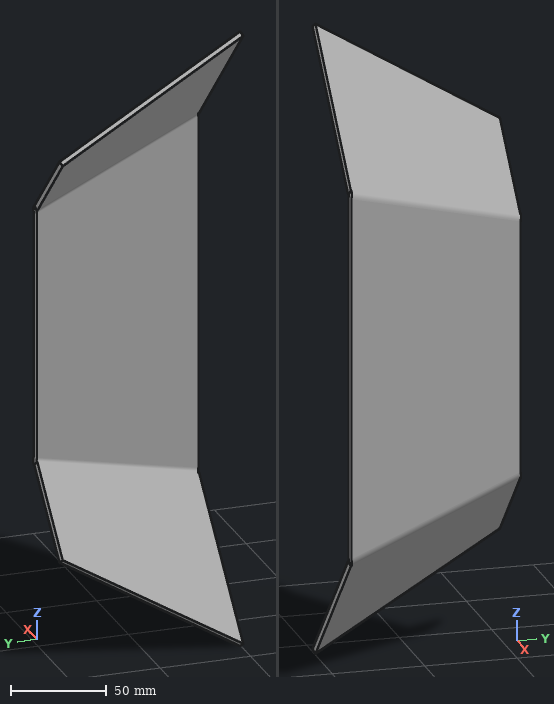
import cadquery as cq
import math

overall_height = 345.3
thickness = 3.0
inner_bend_radius = 3.0
depth = 99.8
front_reach = 70.8
back_reach = 40.7

up = cq.Vector(0, 0, 1)
taper = front_reach - back_reach
bend_line = cq.Vector(-taper, depth, -taper)
web_normal = bend_line.cross(up).normalized()
flange_direction = cq.Vector(-1, 0, 1).normalized()
flange_normal = bend_line.cross(flange_direction).normalized()
bend_angle = web_normal.getAngle(flange_normal)

tip_height = overall_height / 2 - thickness * flange_normal.z
web_half_height = tip_height - front_reach

front_corner = cq.Vector(front_reach, 0, web_half_height)
back_corner = front_corner + bend_line
front_tip = cq.Vector(0, 0, tip_height)
back_tip = cq.Vector(0, depth, back_corner.z + back_reach)

tangent_length = inner_bend_radius * math.tan(bend_angle / 2)
bend_slope = bend_line.getAngle(up)
bend_drop = up * (tangent_length / math.sin(bend_slope))
web_front = front_corner - bend_drop
web_back = back_corner - bend_drop

axis_front = web_front - web_normal * inner_bend_radius
axis_back = web_back - web_normal * inner_bend_radius


def plate(corners, normal):
    """Flat sheet with square-cut edges, thickened outward from its inner surface."""
    outline = cq.Wire.makePolygon(corners, close=True)
    return cq.Solid.extrudeLinear(outline, [], normal * thickness)


def mirrored(point):
    return cq.Vector(point.x, point.y, -point.z)


def make_bend():
    """Turn the square-cut upper edge of the web about the bend axis."""
    offset = web_normal * thickness
    edge = cq.Wire.makePolygon(
        [web_front, web_back, web_back + offset, web_front + offset], close=True
    )
    return cq.Solid.revolve(edge, [], math.degrees(bend_angle), axis_back, axis_front)


def make_flange():
    """Continue from the end of the bend to the flange tips, keeping front and back edges along X-Z."""
    edge_slope = bend_line.getAngle(flange_direction)
    start = flange_direction * (tangent_length / math.sin(edge_slope))
    return plate([front_corner + start, front_tip, back_tip, back_corner + start], flange_normal)


web = plate([web_front, web_back, mirrored(web_back), mirrored(web_front)], web_normal)
upper_side = cq.Workplane(obj=make_bend()).union(cq.Workplane(obj=make_flange()))
lower_side = upper_side.mirror("XY")
result = cq.Workplane(obj=web).union(upper_side).union(lower_side)